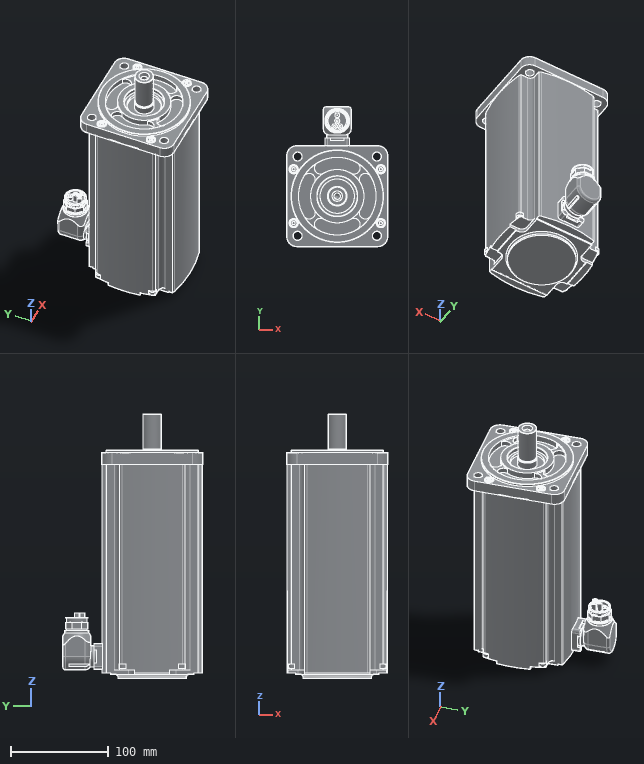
import cadquery as cq
import math

total_height = 271.7
flange_side = 104.0
flange_corner_radius = 10.5
flange_bottom = 219.8
flange_top = 232.0
pilot_diameter = 95.0
pilot_top = 234.7

ring_inner_radius = 40.0
hub_radius = 27.5
web_drop = 1.5
pocket_depth = 7.0
pocket_end_angle = 14.3
web_half_angle = pocket_end_angle - 1
web_overlap = 1.4
rim_chamfer = 0.4
bore_diameter = 41.3
bore_depth = 5.2
seal_diameter = 35.3
seal_depth = 8.2

shaft_diameter = 19.0
collar_diameter = 20.0
undercut_diameter = 18.5
undercut_height = 1.4
tip_chamfer = 0.3
center_hole_diameter = 6.5
center_hole_depth = 13.5
countersink_diameter = 10.5
drill_point_angle = 118
countersink_angle = 60

mount_hole_offset = 40.8
mount_hole_diameter = 9.0
screw_x = 44.8
screw_y = 27.7
screw_recess_diameter = 9.5
screw_recess_depth = 1.5
screw_head_diameter = 8.5
screw_head_drop = 0.3
screw_head_chamfer = 0.8
screw_socket_diameter = 3.3
screw_socket_depth = 1.0

body_bottom = 5.5
face_inset = 0.3
face_middle = flange_side / 2 - face_inset
face_half_width = 31.2
face_end = 48.0
notch_wall = 33.7
notch_mouth = 47.0
notch_radius = 5.2

foot_cut_top = 8.7
foot_cut_y = 18.0
foot_cut_radius = 6.5
rear_screw_diameter = 8.5
rear_screw_x = 46.0
rear_screw_y = 30.0
rear_screw_bottom = 10.3
rear_screw_top = 14.7
rear_cap_diameter = 70.6
rear_cap_height = 2.2
rear_cap_root_diameter = 74.0
rear_step = 1.4
rear_step_inset = 9.2

plug_z = 22.5
base_width = 25.5
base_height = 26.5
base_end = 57.3
pad_end = 60.0
pad_gap = 13.5
base_corner_radius = 3.0
base_start = 49.0
neck_diameter = 22.0
neck_collar_diameter = 23.6
elbow_width = 28.8
elbow_floor = 8.7
elbow_near = 63.0
elbow_reach = 40.0
elbow_far = flange_side / 2 + elbow_reach
elbow_near_radius = 6.0
elbow_far_radius = 2.7
grip_half_width = 9.2
grip_bottom = 11.0
grip_top = 14.7
grip_end = 85.3
elbow_top = 46.7
elbow_top_radius = 12.8
elbow_cone_bottom = 34.0
elbow_cone_radius = 19.5
coupling_y = (elbow_near + elbow_far) / 2
ring_diameter = 25.0
ring_top = 49.2
throat_diameter = 21.5
nut_bottom = 50.8
nut_top = 57.5
nut_flats = 22.8
nut_sides = 8
lip_diameter = 22.8
lip_thickness = 0.5
sleeve_top = 62.5
socket_diameter = 19.0
socket_floor = 58.1
contact_top = 67.5
post_diameter = 5.2
pin_diameter = 5.2
pin_spacing = 5.7
pin_offset = 5.7
pin_hole_diameter = 1.98
short_pin_diameter = 5.0
short_pin_hole_diameter = 0.98


def cylinder(diameter, bottom, top, x=0, y=0):
    """Upright cylinder between two heights."""
    return cq.Workplane("XY", origin=(x, y, bottom)).circle(diameter / 2).extrude(top - bottom)


def block(x_range, y_range, z_range):
    """Box given by its limits along each axis."""
    lengths = [high - low for low, high in (x_range, y_range, z_range)]
    corner = (x_range[0], y_range[0], z_range[0])
    return cq.Workplane("XY", origin=corner).box(*lengths, centered=False)


def four_corners(x, y):
    """Positions mirrored into all four quadrants."""
    return [(sx * x, sy * y) for sx in (-1, 1) for sy in (-1, 1)]


def make_body():
    """Housing whose section repeats one bowed face and one notch four times."""
    notch_center = notch_wall + notch_radius
    notch_mid = notch_center - notch_radius * math.sqrt(0.5)
    side = [
        (0, -face_middle),
        (face_half_width, -face_end),
        (notch_wall, -notch_mouth),
        (notch_wall, -notch_center),
        (notch_mid, -notch_mid),
        (notch_center, -notch_wall),
        (notch_mouth, -notch_wall),
        (face_end, -face_half_width),
    ]
    outline = cq.Workplane("XY", origin=(0, 0, body_bottom)).moveTo(-face_half_width, -face_end)
    for _ in range(4):
        bow, face_stop, mouth, arc_start, arc_mid, arc_stop, next_mouth, next_face = side
        outline = outline.threePointArc(bow, face_stop).lineTo(*mouth).lineTo(*arc_start)
        outline = outline.threePointArc(arc_mid, arc_stop).lineTo(*next_mouth).lineTo(*next_face)
        side = [(-y, x) for x, y in side]
    return outline.close().extrude(flange_bottom - body_bottom)


def add_rear(body):
    """Corner reliefs, screw ends and the round rear cap."""
    reach = flange_side
    relief = block((notch_wall, reach), (foot_cut_y, reach), (0, foot_cut_top))
    relief = relief.edges("|Z and <X and <Y").fillet(foot_cut_radius)
    relief = relief.union(relief.mirror("YZ"))
    relief = relief.union(relief.mirror("XZ"))
    step_side = flange_side - 2 * rear_step_inset
    step = cq.Workplane("XY", origin=(0, 0, body_bottom - rear_step)).rect(step_side, step_side)
    body = body.union(step.extrude(2 * rear_step)).cut(relief)
    for x, y in four_corners(rear_screw_x, rear_screw_y):
        body = body.union(cylinder(rear_screw_diameter, rear_screw_bottom, rear_screw_top, x, y))
    cap_root = body_bottom - rear_step
    cap = (
        cq.Workplane("XZ")
        .polyline([
            (0, 0),
            (rear_cap_diameter / 2, 0),
            (rear_cap_diameter / 2, rear_cap_height),
            (rear_cap_root_diameter / 2, cap_root),
            (0, cap_root),
        ])
        .close()
        .revolve(360, (0, 0), (0, 1))
    )
    return body.union(cap)


def make_web():
    """Waisted web along +X that joins the hub to the ring between two pocket ends."""
    inner = hub_radius - web_overlap
    outer = ring_inner_radius + web_overlap
    slope = math.tan(math.radians(web_half_angle))
    web = (
        cq.Workplane("XY", origin=(0, 0, pilot_top - pocket_depth))
        .polyline([
            (inner, -inner * slope),
            (outer, -outer * slope),
            (outer, outer * slope),
            (inner, inner * slope),
        ])
        .close()
        .extrude(pocket_depth - web_drop)
    )
    end_radius = (ring_inner_radius + hub_radius) / 2
    end_diameter = ring_inner_radius - hub_radius
    for sign in (-1, 1):
        angle = sign * math.radians(pocket_end_angle)
        x = end_radius * math.cos(angle)
        y = end_radius * math.sin(angle)
        web = web.cut(cylinder(end_diameter, pilot_top - pocket_depth, pilot_top, x, y))
    return web


def make_flange():
    """Square flange with pilot ring, recessed webs, pockets and stepped bore."""
    flange = (
        cq.Workplane("XY", origin=(0, 0, flange_bottom))
        .rect(flange_side, flange_side)
        .extrude(flange_top - flange_bottom)
        .edges("|Z")
        .fillet(flange_corner_radius)
    )
    pilot = cylinder(pilot_diameter, flange_bottom, pilot_top).faces(">Z").chamfer(rim_chamfer)
    flange = flange.union(pilot)
    trench_floor = pilot_top - pocket_depth
    trench = cylinder(2 * ring_inner_radius, trench_floor, pilot_top)
    flange = flange.cut(trench.cut(cylinder(2 * hub_radius, trench_floor, pilot_top)))
    web = make_web()
    for quarter in range(4):
        flange = flange.union(web.rotate((0, 0, 0), (0, 0, 1), 45 + 90 * quarter))
    flange = flange.cut(cylinder(seal_diameter, pilot_top - seal_depth, pilot_top))
    bore = cylinder(bore_diameter, pilot_top - bore_depth, pilot_top)
    lead_in = (
        cq.Workplane("XY", origin=(0, 0, pilot_top))
        .circle(bore_diameter / 2 + rim_chamfer)
        .workplane(offset=-rim_chamfer)
        .circle(bore_diameter / 2)
        .loft()
    )
    return flange.cut(bore).cut(lead_in)


def add_flange_screws(flange):
    """Recessed socket-head screws beside the mounting holes."""
    recess_floor = flange_top - screw_recess_depth
    head_top = flange_top - screw_head_drop
    for x, y in four_corners(screw_x, screw_y):
        flange = flange.cut(cylinder(screw_recess_diameter, recess_floor, flange_top, x, y))
        head = cylinder(screw_head_diameter, recess_floor, head_top, x, y)
        head = head.faces(">Z").chamfer(screw_head_chamfer)
        socket = cylinder(screw_socket_diameter, head_top - screw_socket_depth, head_top, x, y)
        flange = flange.union(head.cut(socket))
    return flange


def make_shaft():
    """Shaft with collar, undercut and countersunk centre hole."""
    root = pilot_top - seal_depth
    undercut_top = pilot_top + undercut_height
    shaft = cylinder(shaft_diameter, undercut_top, total_height).faces(">Z").chamfer(tip_chamfer)
    shaft = shaft.union(cylinder(undercut_diameter, root, undercut_top))
    shaft = shaft.union(cylinder(collar_diameter, root, pilot_top))
    sink_radius = countersink_diameter / 2
    hole_radius = center_hole_diameter / 2
    sink_floor = total_height - (sink_radius - hole_radius) / math.tan(math.radians(countersink_angle / 2))
    hole_floor = total_height - center_hole_depth
    drill_point = hole_floor - hole_radius / math.tan(math.radians(drill_point_angle / 2))
    center_hole = (
        cq.Workplane("XZ")
        .polyline([
            (0, total_height),
            (sink_radius, total_height),
            (hole_radius, sink_floor),
            (hole_radius, hole_floor),
            (0, drill_point),
        ])
        .close()
        .revolve(360, (0, 0), (0, 1))
    )
    return shaft.cut(center_hole)


def make_base():
    """Rounded block on the +Y face with four raised corner pads."""

    def block_to(end):
        plate = cq.Workplane("XZ", origin=(0, base_start, plug_z)).rect(base_width, base_height)
        return plate.extrude(base_start - end).edges("|Y").fillet(base_corner_radius)

    pads = block_to(pad_end)
    pads = pads.cut(block((-pad_gap / 2, pad_gap / 2), (base_end, pad_end), (0, 2 * plug_z)))
    z_gap = (plug_z - pad_gap / 2, plug_z + pad_gap / 2)
    pads = pads.cut(block((-base_width, base_width), (base_end, pad_end), z_gap))
    return pads.union(block_to(base_end))


def make_elbow():
    """Square elbow with round underside, conical top and a flat grip recess on each side."""
    half = elbow_width / 2
    elbow = (
        cq.Workplane("XZ", origin=(0, elbow_near, 0))
        .moveTo(-half, elbow_top)
        .lineTo(-half, plug_z)
        .threePointArc((0, elbow_floor), (half, plug_z))
        .lineTo(half, elbow_top)
        .close()
        .extrude(elbow_near - elbow_far)
    )
    elbow = elbow.edges("|Z and <Y").fillet(elbow_near_radius)
    elbow = elbow.edges("|Z and >Y").fillet(elbow_far_radius)
    envelope = (
        cq.Workplane("XZ", origin=(0, coupling_y, 0))
        .polyline([
            (0, 0),
            (elbow_width, 0),
            (elbow_width, elbow_cone_bottom),
            (elbow_cone_radius, elbow_cone_bottom),
            (elbow_top_radius, elbow_top),
            (0, elbow_top),
        ])
        .close()
        .revolve(360, (0, 0), (0, 1))
    )
    elbow = elbow.intersect(envelope)
    grip = block((grip_half_width, elbow_width), (elbow_near, grip_end), (grip_bottom, grip_top))
    return elbow.cut(grip).cut(grip.mirror("YZ"))


def make_coupling():
    """Upright coupling: ring, eight-sided nut, lipped sleeve and contacts."""

    def upright(diameter, bottom, top, x=0, y=0):
        return cylinder(diameter, bottom, top, x, coupling_y + y)

    nut_corners = nut_flats / math.cos(math.pi / nut_sides)
    nut = (
        cq.Workplane("XY", origin=(0, coupling_y, nut_bottom))
        .transformed(rotate=(0, 0, 180 / nut_sides))
        .polygon(nut_sides, nut_corners)
        .extrude(nut_top - nut_bottom)
    )
    coupling = upright(ring_diameter, elbow_top, ring_top).union(nut)
    coupling = coupling.union(upright(throat_diameter, elbow_top, sleeve_top))
    coupling = coupling.union(upright(lip_diameter, sleeve_top - lip_thickness, sleeve_top))
    coupling = coupling.cut(upright(socket_diameter, socket_floor, sleeve_top))
    contacts = [
        (0, 0, post_diameter, pin_hole_diameter, contact_top),
        (-pin_spacing / 2, -pin_offset, pin_diameter, pin_hole_diameter, contact_top),
        (pin_spacing / 2, -pin_offset, pin_diameter, pin_hole_diameter, contact_top),
        (0, pin_offset, short_pin_diameter, short_pin_hole_diameter, sleeve_top),
    ]
    for x, y, diameter, hole_diameter, top in contacts:
        pin = upright(diameter, socket_floor, top, x, y)
        coupling = coupling.union(pin.cut(upright(hole_diameter, socket_floor, top, x, y)))
    return coupling


def make_connector():
    """Complete angled connector."""
    neck = cq.Workplane("XZ", origin=(0, base_start, plug_z)).circle(neck_diameter / 2)
    neck = neck.extrude(base_start - coupling_y)
    collar = cq.Workplane("XZ", origin=(0, base_start, plug_z)).circle(neck_collar_diameter / 2)
    neck = neck.union(collar.extrude(base_start - pad_end))
    return make_base().union(neck).union(make_elbow()).union(make_coupling())


flange = add_flange_screws(make_flange())
mount_holes = cq.Workplane("XY").pushPoints(four_corners(mount_hole_offset, mount_hole_offset))
mount_holes = mount_holes.circle(mount_hole_diameter / 2).extrude(total_height)

motor = add_rear(make_body()).union(flange).cut(mount_holes)
result = motor.union(make_shaft()).union(make_connector())